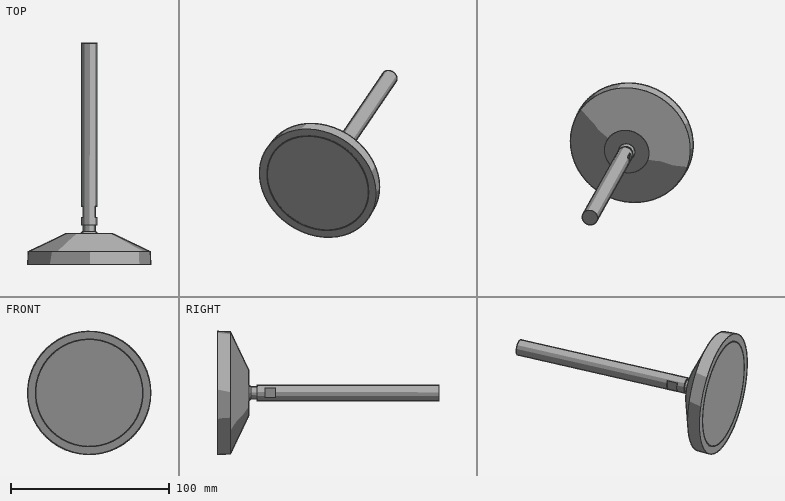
import cadquery as cq

TOTAL_LENGTH = 140.0
FOOT_DIAMETER = 78.0

STEM_DIAMETER = 10.0
NECK_DIAMETER = 7.8
NECK_LENGTH = 5.6
NECK_END = 25.0
NECK_START = NECK_END - NECK_LENGTH

RIM_TOP_DIAMETER = 77.3
RIM_HEIGHT = 8.3
FOOT_HEIGHT = 19.9
FOOT_TOP_DIAMETER = 28.7
COLLAR_HEIGHT = 1.3
COLLAR_DIAMETER = 10.6

GROOVE_OUTER_DIAMETER = 68.0
GROOVE_INNER_DIAMETER = 67.5
GROOVE_DEPTH = 1.0

FLATS_START = 30.0
FLATS_LENGTH = 6.9
ACROSS_FLATS = NECK_DIAMETER


def revolve_about_y(profile):
    """Solid of revolution about Y from a closed (radius, y) outline."""
    return cq.Workplane("XY").polyline(profile).close().revolve(360, (0, 0), (0, 1))


def make_foot():
    """Conical foot with a small collar around the blind socket for the stem's neck."""
    foot = revolve_about_y([
        (0, 0),
        (FOOT_DIAMETER / 2, 0),
        (RIM_TOP_DIAMETER / 2, RIM_HEIGHT),
        (FOOT_TOP_DIAMETER / 2, FOOT_HEIGHT),
        (COLLAR_DIAMETER / 2, FOOT_HEIGHT),
        (NECK_DIAMETER / 2, FOOT_HEIGHT + COLLAR_HEIGHT),
        (NECK_DIAMETER / 2, NECK_START),
        (0, NECK_START),
    ])
    return foot.cut(make_ring_groove())


def make_ring_groove():
    """Thin ring of material removed from the foot's underside."""
    underside = cq.Workplane("XZ")
    ring = underside.circle(GROOVE_OUTER_DIAMETER / 2).circle(GROOVE_INNER_DIAMETER / 2)
    return ring.extrude(-GROOVE_DEPTH)


def make_stem():
    """Round stem with a thinner neck at its lower end and two wrench flats."""
    stem = revolve_about_y([
        (0, NECK_START),
        (NECK_DIAMETER / 2, NECK_START),
        (NECK_DIAMETER / 2, NECK_END),
        (STEM_DIAMETER / 2, NECK_END),
        (STEM_DIAMETER / 2, TOTAL_LENGTH),
        (0, TOTAL_LENGTH),
    ])
    return cut_wrench_flats(stem)


def cut_wrench_flats(stem):
    """Cut two opposite flats that face -X and +X."""
    flats_middle = FLATS_START + FLATS_LENGTH / 2
    for side in (-1, 1):
        offset = side * (ACROSS_FLATS + STEM_DIAMETER) / 2
        cutter = cq.Workplane("XY").box(STEM_DIAMETER, FLATS_LENGTH, STEM_DIAMETER)
        stem = stem.cut(cutter.translate((offset, flats_middle, 0)))
    return stem


foot = make_foot()
stem = make_stem()

result = cq.Compound.makeCompound([foot.val(), stem.val()])